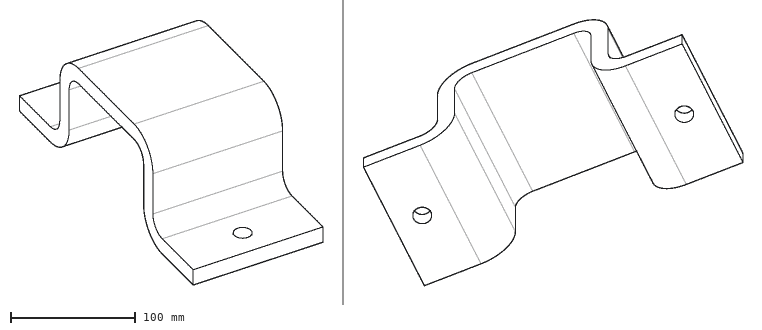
import cadquery as cq

length = 280.0
width = 120.0
height = 100.0

thickness = 15.0
inner_bend_radius = thickness
outer_bend_radius = inner_bend_radius + thickness
hat_width = 150.0

hole_diameter = 15.0
hole_end_distance = 25.0

half_length = length / 2
outer_wall_x = hat_width / 2
inner_wall_x = outer_wall_x - thickness
hole_x = half_length - hole_end_distance


def block(half_size_x, bottom, top):
    """Full-width block centred on X and Y between two heights."""
    return cq.Workplane("XY").workplane(offset=bottom).rect(2 * half_size_x, width).extrude(top - bottom)


def bend_edges(x, z):
    """Selector for the two bend edges that run along Y at +x and -x."""
    margin = thickness / 4
    boxes = [
        cq.selectors.BoxSelector(
            (side * x - margin, -margin, z - margin),
            (side * x + margin, margin, z + margin),
        )
        for side in (-1, 1)
    ]
    return boxes[0] + boxes[1]


bracket = block(half_length, 0, thickness).union(block(outer_wall_x, 0, height))
bracket = bracket.cut(block(inner_wall_x, 0, height - thickness))

bends = [
    (outer_wall_x, height, outer_bend_radius),
    (inner_wall_x, height - thickness, inner_bend_radius),
    (outer_wall_x, thickness, inner_bend_radius),
    (inner_wall_x, 0, outer_bend_radius),
]
for bend_x, bend_z, radius in bends:
    bracket = bracket.edges(bend_edges(bend_x, bend_z)).fillet(radius)

holes = (
    cq.Workplane("XY")
    .pushPoints([(-hole_x, 0), (hole_x, 0)])
    .circle(hole_diameter / 2)
    .extrude(thickness)
)

result = bracket.cut(holes)